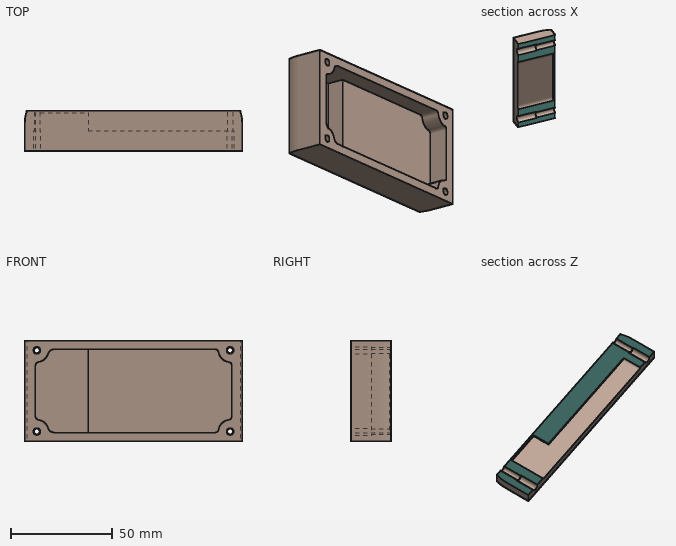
import cadquery as cq
import math

length = 107.3
depth = 20.0
height = 49.7

curve_depth = 6.1
curve_inset = 1.02

pocket_length = 96.8
pocket_height = 41.0
shallow_depth = 10.0
deep_depth = 19.0
step_from_end = 31.2

hole_diameter = 2.8
hole_mouth_diameter = 3.4
hole_mouth_depth = shallow_depth
hole_inset_x = 6.0
hole_inset_z = 4.8
boss_radius = 5.8

left_end_wall_radius = 2.0
left_long_wall_radius = 3.0
right_corner_radius = 1.6

hole_x = length / 2 - hole_inset_x
hole_z = height / 2 - hole_inset_z
hole_centers = [(sx * hole_x, sz * hole_z) for sx in (-1, 1) for sz in (-1, 1)]
step_x = step_from_end - length / 2


def front_plane(distance=0.0):
    """Workplane at a distance behind the front face; extrusions go rearward with a negative length."""
    return cq.Workplane("XZ", origin=(0, distance, 0))


def make_body():
    """Block whose ends curve inward, tangent to the straight end faces, toward the rear."""
    half = length / 2
    curve_start = depth - curve_depth
    curve_radius = (curve_depth**2 + curve_inset**2) / (2 * curve_inset)
    mid_angle = math.asin(curve_depth / curve_radius) / 2
    mid_x = half - curve_radius * (1 - math.cos(mid_angle))
    mid_y = curve_start + curve_radius * math.sin(mid_angle)
    rear_x = half - curve_inset
    return (
        cq.Workplane("XY", origin=(0, 0, -height / 2))
        .moveTo(-half, 0)
        .lineTo(half, 0)
        .lineTo(half, curve_start)
        .threePointArc((mid_x, mid_y), (rear_x, depth))
        .lineTo(-rear_x, depth)
        .threePointArc((-mid_x, mid_y), (-half, curve_start))
        .close()
        .extrude(height)
    )


def half_selector(side):
    """Selects everything in the left (-1) or right (1) half of the block."""
    return cq.selectors.BoxSelector((0, -depth, -height), (side * length, 2 * depth, height))


def make_pocket():
    """Two-level pocket, deeper at the left, kept clear of the screw bosses."""
    pocket = front_plane().rect(pocket_length, pocket_height).extrude(-deep_depth)
    bosses = front_plane().pushPoints(hole_centers).circle(boss_radius).extrude(-deep_depth)
    pocket = pocket.cut(bosses)

    left = half_selector(-1)
    right = half_selector(1)
    pocket = pocket.edges("|Y").edges(right).fillet(right_corner_radius)
    pocket = pocket.edges("|Y and (>Z or <Z)").edges(left).fillet(left_long_wall_radius)
    pocket = pocket.edges("|Y and <X").fillet(left_end_wall_radius)

    raised_floor = (
        front_plane(shallow_depth)
        .center((step_x + length / 2) / 2, 0)
        .rect(length / 2 - step_x, height)
        .extrude(-depth)
    )
    return pocket.cut(raised_floor)


def make_holes():
    """Four through holes, one in each corner, each with a slightly wider mouth at the front."""
    corners = front_plane().pushPoints(hole_centers)
    holes = corners.circle(hole_diameter / 2).extrude(-depth)
    mouths = corners.circle(hole_mouth_diameter / 2).extrude(-hole_mouth_depth)
    return holes.union(mouths)


result = make_body().cut(make_pocket()).cut(make_holes())